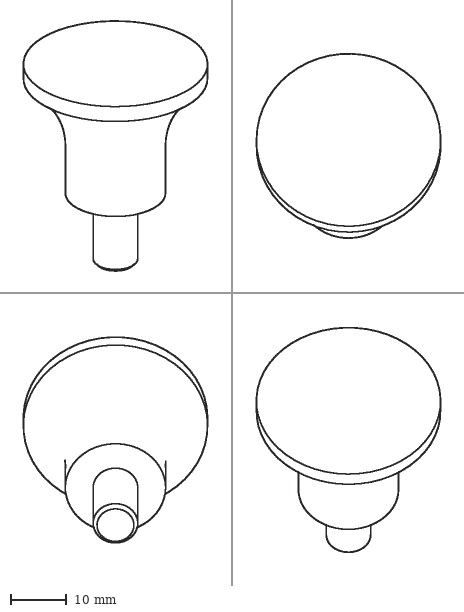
import cadquery as cq

total_height = 43.0
head_radius = 16.5
collar_radius = 9.0
stem_radius = 4.0
stem_length = 14.0
stem_chamfer = 0.7
collar_height = 9.65
rim_height = 3.0
dome_height = 2.8

collar_top = stem_length + collar_height
rim_top = total_height - dome_height
rim_bottom = rim_top - rim_height

dome_radius = (head_radius**2 + dome_height**2) / (2 * dome_height)
dome_center = total_height - dome_radius
dome_mid_x = head_radius / 2
dome_mid_z = dome_center + (dome_radius**2 - dome_mid_x**2) ** 0.5

profile = (
    cq.Workplane("XZ")
    .lineTo(stem_radius, 0)
    .lineTo(stem_radius, stem_length)
    .lineTo(collar_radius, stem_length)
    .lineTo(collar_radius, collar_top)
    .tangentArcPoint((head_radius, rim_bottom), relative=False)
    .lineTo(head_radius, rim_top)
    .threePointArc((dome_mid_x, dome_mid_z), (0, total_height))
    .close()
)
knob = profile.revolve(360, (0, 0, 0), (0, 1, 0))

result = knob.faces("<Z").edges().chamfer(stem_chamfer)